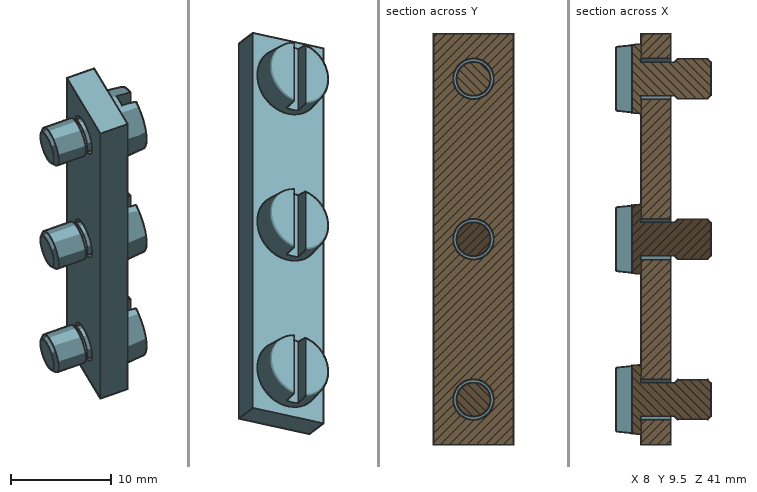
import cadquery as cq

plate_width = 8.0
plate_thickness = 3.0
plate_height = 41.0

screw_count = 3
screw_pitch = 16.0
hole_diameter = 4.0

neck_diameter = 3.4
stud_diameter = 4.0
stud_reach = 4.0
neck_reach = 0.35
shoulder_length = (stud_diameter - neck_diameter) / 2
tip_chamfer = 0.35

head_height = 2.5
head_base_diameter = 7.0
head_top_diameter = 6.5
rim_radius = 0.2
slot_width = 1.3
slot_depth = 1.6

screw_heights = [(i - (screw_count - 1) / 2) * screw_pitch for i in range(screw_count)]


def make_plate():
    """Rectangular plate with a row of clearance holes through its thickness."""
    blank = cq.Workplane("XY").box(
        plate_width, plate_thickness, plate_height, centered=(True, False, True)
    )
    holes = (
        cq.Workplane("XZ")
        .pushPoints([(0, height) for height in screw_heights])
        .circle(hole_diameter / 2)
        .extrude(-plate_thickness)
    )
    return blank.cut(holes)


def make_shank():
    """Neck and chamfered stud, revolved about Y."""
    neck_radius = neck_diameter / 2
    stud_radius = stud_diameter / 2
    return (
        cq.Workplane("XY")
        .moveTo(0, plate_thickness)
        .lineTo(neck_radius, plate_thickness)
        .lineTo(neck_radius, -neck_reach)
        .lineTo(stud_radius, -neck_reach - shoulder_length)
        .lineTo(stud_radius, tip_chamfer - stud_reach)
        .lineTo(stud_radius - tip_chamfer, -stud_reach)
        .lineTo(0, -stud_reach)
        .close()
        .revolve(360, (0, 0), (0, 1))
    )


def make_head():
    """Tapered slotted head resting on the back face of the plate."""
    head_top = plate_thickness + head_height
    cone = (
        cq.Workplane("XY")
        .moveTo(0, plate_thickness)
        .lineTo(head_base_diameter / 2, plate_thickness)
        .lineTo(head_top_diameter / 2, head_top)
        .lineTo(0, head_top)
        .close()
        .revolve(360, (0, 0), (0, 1))
        .faces(">Y")
        .edges()
        .fillet(rim_radius)
    )
    slot = (
        cq.Workplane("XY")
        .box(slot_width, slot_depth, head_base_diameter, centered=(True, False, True))
        .translate((0, head_top - slot_depth, 0))
    )
    return cone.cut(slot)


def make_screw(height):
    """One complete screw with its axis at the given Z."""
    return make_shank().union(make_head()).translate((0, 0, height))


plate = make_plate()
screws = [make_screw(height) for height in screw_heights]

result = cq.Compound.makeCompound([plate.val(), *[screw.val() for screw in screws]])